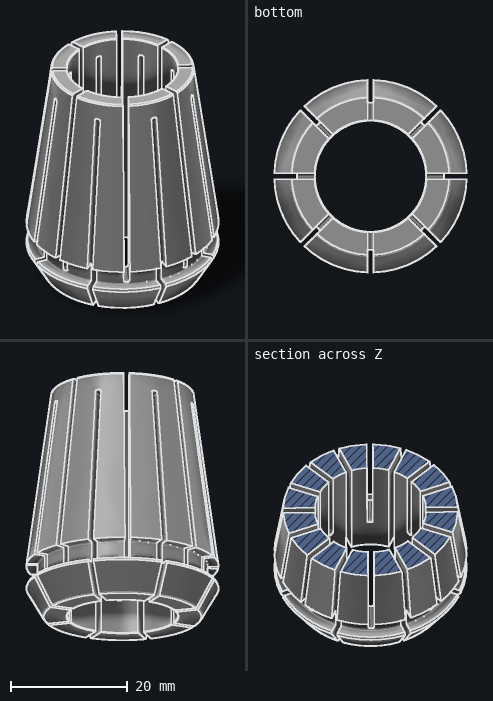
import cadquery as cq
import math

height = 40.0
body_radius = 16.5
bore_diameter = 19.0
bore_radius = bore_diameter / 2
edge_chamfer = 0.25
bore_chamfer = 0.1

taper_base_z = 9.1
taper_top_radius = 12.2
taper_slope = (body_radius - taper_top_radius) / (height - taper_base_z)

groove_radius = 14.55
groove_floor_z = 5.5
nose_angle = 30.0
nose_bottom_radius = 13.55
nose_rim_z = (body_radius - nose_bottom_radius) / math.tan(math.radians(nose_angle))
rim_setback = 0.25
groove_fillet = 0.15

slots_per_end = 8
slot_width = 1.0
slot_corner_radius = 0.4
lower_slot_top_z = 37.0
upper_slot_bottom_z = 5.9
slot_pitch = 360 / slots_per_end


def collet_body():
    """Revolved sleeve: nose, groove and taper around a straight bore."""
    taper_edge_radius = taper_top_radius + edge_chamfer * taper_slope
    nose_edge_radius = nose_bottom_radius + edge_chamfer * math.tan(math.radians(nose_angle))
    return (
        cq.Workplane("XZ")
        .moveTo(bore_radius + bore_chamfer, 0)
        .lineTo(nose_edge_radius - edge_chamfer, 0)
        .lineTo(nose_edge_radius, edge_chamfer)
        .lineTo(body_radius, nose_rim_z)
        .lineTo(body_radius - rim_setback, groove_floor_z)
        .lineTo(groove_radius + groove_fillet, groove_floor_z)
        .radiusArc((groove_radius, groove_floor_z + groove_fillet), groove_fillet)
        .lineTo(groove_radius, taper_base_z - groove_fillet)
        .radiusArc((groove_radius + groove_fillet, taper_base_z), groove_fillet)
        .lineTo(body_radius, taper_base_z)
        .lineTo(taper_edge_radius, height - edge_chamfer)
        .lineTo(taper_edge_radius - edge_chamfer, height)
        .lineTo(bore_radius + bore_chamfer, height)
        .lineTo(bore_radius, height - bore_chamfer)
        .lineTo(bore_radius, bore_chamfer)
        .close()
        .revolve(360, (0, 0, 0), (0, 1, 0))
    )


def slot_cutter(open_z, closed_z, angle):
    """Radial slot on one side of the axis, open at one end and rounded at the other."""
    return (
        cq.Workplane("XY")
        .box(slot_width, 2 * body_radius, abs(open_z - closed_z), centered=(True, False, False))
        .edges("|Y")
        .edges(">Z" if closed_z > open_z else "<Z")
        .fillet(slot_corner_radius)
        .translate((0, 0, min(open_z, closed_z)))
        .rotate((0, 0, 0), (0, 0, 1), angle)
    )


result = collet_body()
for index in range(slots_per_end):
    lower_angle = index * slot_pitch
    upper_angle = lower_angle + slot_pitch / 2
    result = result.cut(slot_cutter(0, lower_slot_top_z, lower_angle))
    result = result.cut(slot_cutter(height, upper_slot_bottom_z, upper_angle))